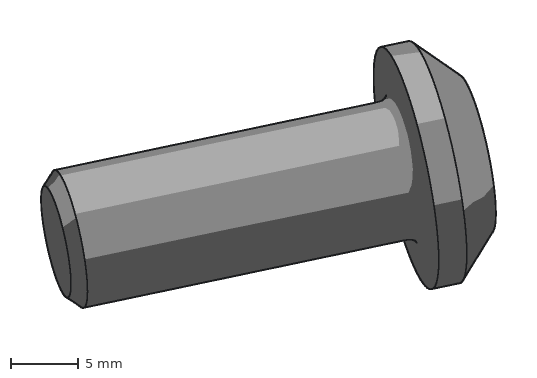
import cadquery as cq

total_length = 32.3
head_diameter = 18.45
head_face_diameter = 12.0
head_height = 5.3
head_rim_height = 2.15
shank_diameter = 10.5
neck_fillet_radius = 1.0
tip_chamfer = 1.0

head_radius = head_diameter / 2
head_face_radius = head_face_diameter / 2
shank_radius = shank_diameter / 2
shank_length = total_length - head_height
rim_top = shank_length + head_rim_height


def half_profile():
    """Half section in the XY plane, from the tip at Y = 0 to the head face."""
    return (
        cq.Workplane("XY")
        .lineTo(shank_radius - tip_chamfer, 0)
        .lineTo(shank_radius, tip_chamfer)
        .lineTo(shank_radius, shank_length - neck_fillet_radius)
        .tangentArcPoint((neck_fillet_radius, neck_fillet_radius))
        .lineTo(head_radius, shank_length)
        .lineTo(head_radius, rim_top)
        .lineTo(head_face_radius, total_length)
        .lineTo(0, total_length)
        .close()
    )


result = half_profile().revolve(360, (0, 0), (0, 1))